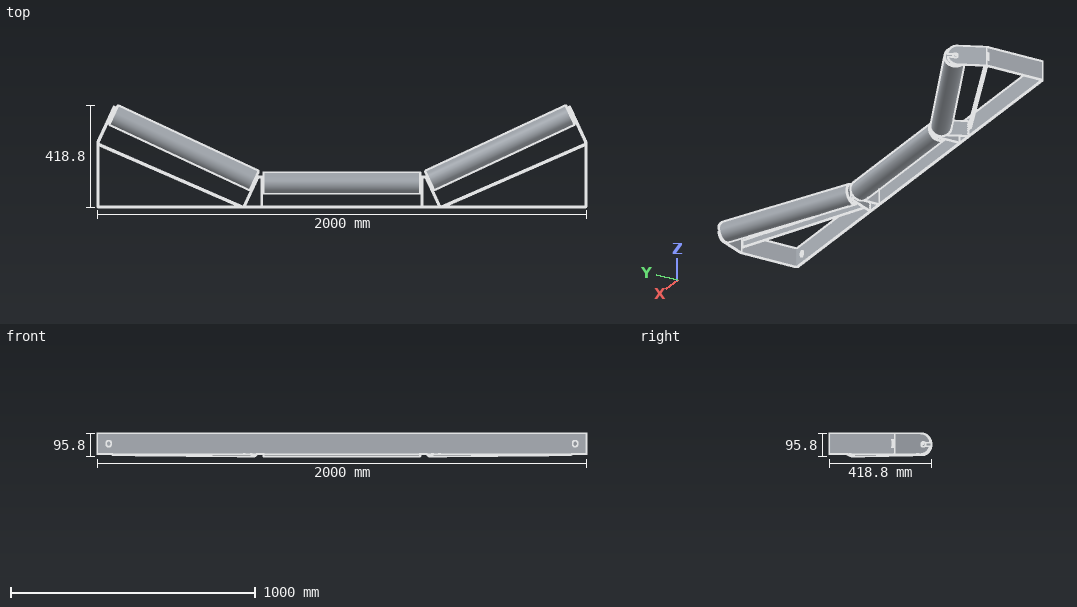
import cadquery as cq
import math


frame_length = 2000.0
strip_height = 85.0
strip_thickness = 6.0
bend_radius = 8.0
wing_angle = 25.0
arm_bend_y = 268.0
arm_tip_length = 161.0
arm_tip_radius = 40.0
mount_hole_width = 20.0
mount_hole_height = 25.0
mount_hole_inset = 47.0

roller_radius = 44.5
roller_chamfer = 3.0
shaft_diameter = 20.0
shaft_slot_width = 14.0
arm_gap = 6.0
bracket_gap = 3.0
center_axis_y = 101.0
center_axis_z = -8.84
wing_axis_from_bend = 128.93
wing_outer_z = -3.0

bracket_thickness = 5.0
bracket_inner_x = 325.0
bracket_top_y = 128.0
bracket_top_width = 20.0

brace_thickness = 6.0
brace_height = 30.0
brace_outer_y = 261.0
brace_foot_x = 415.0

half_length = frame_length / 2
sin_wing = math.sin(math.radians(wing_angle))
cos_wing = math.cos(math.radians(wing_angle))
tan_wing = sin_wing / cos_wing


def extrude_plan(points, height):
    """Extrude a plan outline to a Z height centred on Z = 0."""
    return cq.Workplane("XY").polyline(points).close().extrude(height / 2, both=True)


def cylinder(start, end, radius):
    axis = end - start
    return cq.Workplane(cq.Plane(start, cq.Vector(0, 0, 1), axis)).circle(radius).extrude(axis.Length)


def arm_point(distance, inward=0.0):
    """Plan point on the bent arm end, measured from the outer bend corner."""
    return (
        -half_length + distance * sin_wing + inward * cos_wing,
        arm_bend_y + distance * cos_wing - inward * sin_wing,
    )


center_end = cq.Vector(bracket_inner_x + bracket_thickness, center_axis_y, center_axis_z)
center_start = cq.Vector(-center_end.x, center_axis_y, center_axis_z)

leg_width = bracket_thickness / cos_wing
leg_top_x = -bracket_inner_x - bracket_top_width
wing_direction = cq.Vector(cos_wing, -sin_wing, 0)
wing_start = cq.Vector(*arm_point(wing_axis_from_bend), wing_outer_z)
leg_inner_top = cq.Vector(leg_top_x + leg_width, bracket_top_y, wing_outer_z)
wing_length = (leg_inner_top - wing_start).dot(wing_direction)
wing_end = wing_start + wing_direction * wing_length + cq.Vector(0, 0, center_axis_z - wing_outer_z)


def roller(start, end, start_inset, end_inset):
    """Chamfered roller shell, inset from the ends of its shaft."""
    direction = (end - start).normalized()
    shell = cylinder(start + direction * start_inset, end - direction * end_inset, roller_radius)
    shell = shell.faces("%PLANE").edges().chamfer(roller_chamfer)
    return shell.union(cylinder(start, end, shaft_diameter / 2))


arm_inset = strip_thickness + arm_gap
bracket_inset = bracket_thickness + bracket_gap
center_roller = roller(center_start, center_end, bracket_inset, bracket_inset)
wing_roller = roller(wing_start, wing_end, arm_inset, bracket_inset)


def make_brace():
    """Flat bar from the base to the arm, its outer end flush with the outside of the arm."""
    run_x = half_length - brace_foot_x
    run_y = brace_outer_y - strip_thickness
    run = math.hypot(run_x, run_y)
    half_cut_y = brace_thickness / 2 * run / run_x
    half_cut_x = brace_thickness / 2 * run / run_y
    outline = [
        (-half_length, brace_outer_y - half_cut_y),
        (-brace_foot_x - half_cut_x, strip_thickness),
        (-brace_foot_x + half_cut_x, strip_thickness),
        (-half_length, brace_outer_y + half_cut_y),
    ]
    return extrude_plan(outline, brace_height)


brace = make_brace()


def make_bracket():
    """Bent strip with an upright leg at the centre roller and a sloping leg at the wing roller."""
    leg_foot_x = leg_top_x - (bracket_top_y - strip_thickness) * tan_wing
    under_top_y = bracket_top_y - bracket_thickness
    upright_outer_x = -bracket_inner_x - bracket_thickness
    outline = [
        (-bracket_inner_x, strip_thickness),
        (-bracket_inner_x, bracket_top_y),
        (leg_top_x, bracket_top_y),
        (leg_foot_x, strip_thickness),
        (leg_foot_x + leg_width, strip_thickness),
        (leg_top_x + leg_width - bracket_thickness * tan_wing, under_top_y),
        (upright_outer_x, under_top_y),
        (upright_outer_x, strip_thickness),
    ]
    height = strip_height + 2 * center_axis_z
    body = extrude_plan(outline, height).translate((0, 0, center_axis_z))
    for start, end in ((center_start, center_end), (wing_start, wing_end)):
        body = body.cut(cylinder(start, end, shaft_diameter / 2))
    return body


bracket = make_bracket()


def fillet_edge_near(body, point, radius):
    return body.edges(cq.selectors.NearestToPointSelector(point)).fillet(radius)


def bent_strip():
    """Left half of the base with its arm, and the rounded corners of the arm tip."""
    inner_x = -half_length + strip_thickness
    inner_bend_y = arm_bend_y - strip_thickness * math.tan(math.radians(wing_angle / 2))
    body = extrude_plan([
        (0, 0),
        (-half_length, 0),
        (-half_length, arm_bend_y),
        arm_point(arm_tip_length),
        arm_point(arm_tip_length, strip_thickness),
        (inner_x, inner_bend_y),
        (inner_x, strip_thickness),
        (0, strip_thickness),
    ], strip_height)
    body = fillet_edge_near(body, (-half_length, 0, 0), bend_radius)
    body = fillet_edge_near(body, (inner_x, strip_thickness, 0), bend_radius - strip_thickness)
    tip_x, tip_y = arm_point(arm_tip_length, strip_thickness / 2)
    for corner_z in (-strip_height / 2, strip_height / 2):
        body = fillet_edge_near(body, (tip_x, tip_y, corner_z), arm_tip_radius)
    return body


def shaft_slot():
    """Open slot from the wing shaft to the arm tip."""
    outline = [
        arm_point(wing_axis_from_bend),
        arm_point(arm_tip_length),
        arm_point(arm_tip_length, strip_thickness),
        arm_point(wing_axis_from_bend, strip_thickness),
    ]
    return extrude_plan(outline, shaft_slot_width).translate((0, 0, wing_outer_z))


def mount_hole():
    return (
        cq.Workplane("XZ")
        .center(-half_length + mount_hole_inset, 0)
        .slot2D(mount_hole_height, mount_hole_width, 90)
        .extrude(-strip_thickness)
    )


def make_frame():
    half = bent_strip().cut(shaft_slot()).cut(cylinder(wing_start, wing_end, shaft_diameter / 2))
    half = half.cut(mount_hole()).cut(brace)
    return half.union(half.mirror("YZ"))


frame = make_frame()

bodies = [frame.val(), center_roller.val()]
for left_body in (wing_roller, brace, bracket):
    bodies.append(left_body.val())
    bodies.append(left_body.mirror("YZ").val())
result = cq.Compound.makeCompound(bodies)